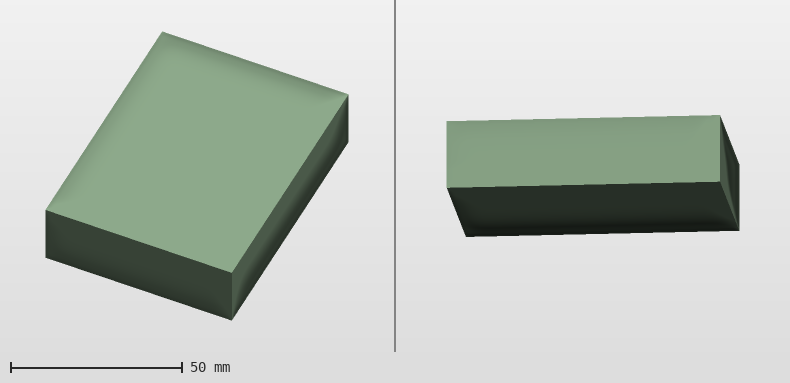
import cadquery as cq

block_width = 60.0
block_length = 80.0
block_height = 20.0
turn_about_z = 30.0

block = cq.Workplane("XY").box(block_width, block_length, block_height)
result = block.rotate((0, 0, 0), (0, 0, 1), turn_about_z)